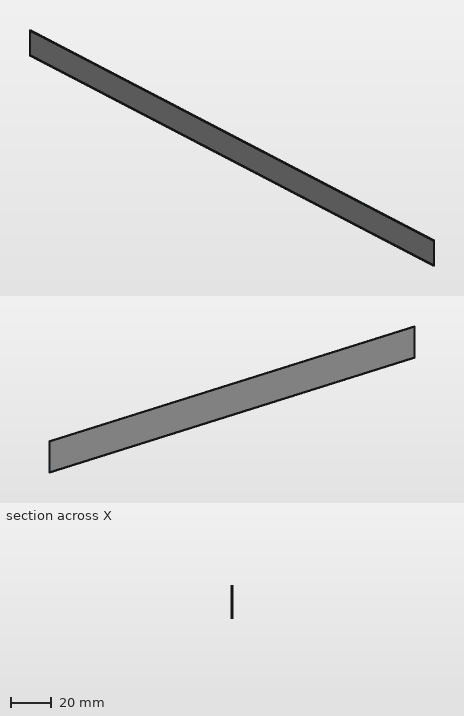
import cadquery as cq

length = 254.0
thickness = 0.5
height = 16.0

result = cq.Workplane("XY").box(length, thickness, height)